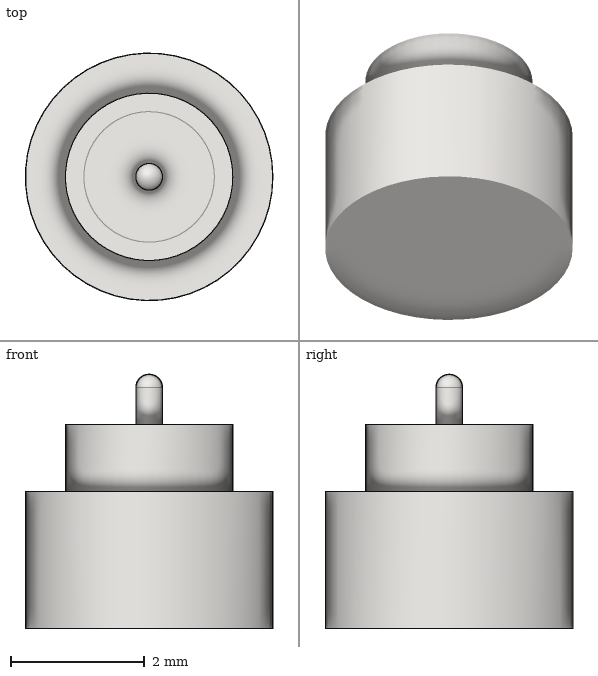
import cadquery as cq

base_diameter = 3.7
base_height = 2.05
collar_diameter = 2.5
collar_height = 1.0
insert_diameter = 1.95
pin_diameter = 0.4
pin_projection = 0.75

collar_top = base_height + collar_height
pin_radius = pin_diameter / 2
pin_straight_length = pin_projection - pin_radius


def cylinder(diameter, height, bottom=0):
    """Upright cylinder on the Z axis, starting at the given level."""
    return cq.Workplane("XY").workplane(offset=bottom).circle(diameter / 2).extrude(height)


def make_shell():
    """Wide base with a narrower collar on top."""
    base = cylinder(base_diameter, base_height)
    collar = cylinder(collar_diameter, collar_height, base_height)
    return base.union(collar)


def make_insert():
    """Round insert inside the collar, flush with the collar top."""
    return cylinder(insert_diameter, collar_height, base_height)


def make_pin():
    """Contact pin standing on the insert, with a hemispherical tip."""
    shaft = cylinder(pin_diameter, pin_straight_length, collar_top)
    tip = cq.Workplane("XY").sphere(pin_radius).translate((0, 0, collar_top + pin_straight_length))
    return shaft.union(tip)


result = make_shell().union(make_insert(), clean=False).union(make_pin(), clean=False)